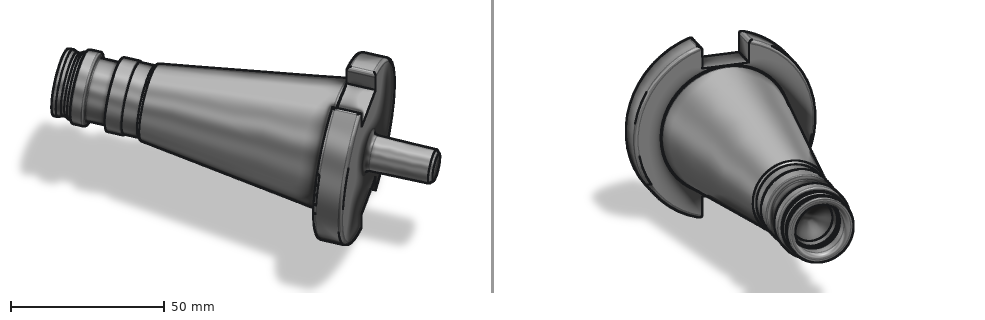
import cadquery as cq
import math

LENGTH = 127.9
TAPER_START = 30.6
GAUGE_PLANE = 93.6
FLANGE_FRONT = 94.9
FLANGE_THICKNESS = 10.0
FLANGE_BACK = FLANGE_FRONT + FLANGE_THICKNESS

TIP_RADIUS = 11.4
TIP_ROUND = 0.5
TIP_GROOVE_START = 1.7
TIP_GROOVE_FLOOR_START = 3.2
TIP_GROOVE_FLOOR_END = 4.3
TIP_GROOVE_END = 5.5
TIP_GROOVE_DEPTH = 0.6

COLLAR_RADIUS = 12.5
FIRST_COLLAR_START = 6.7
FIRST_COLLAR_END = 11.3
FIRST_COLLAR_ROUND = 0.6
NECK_RADIUS = 10.6
NECK_CORNER_ROUND = 0.4
SECOND_COLLAR_START = 18.5
SECOND_COLLAR_END = 24.3
SECOND_COLLAR_ROUND = 0.4
TAIL_RADIUS = 12.2
TAIL_END = 29.5

GAUGE_RADIUS = 22.3
TAPER_SLOPE = 7 / 24 / 2
TAPER_SMALL_RADIUS = GAUGE_RADIUS - TAPER_SLOPE * (GAUGE_PLANE - TAPER_START)

FLANGE_RADIUS = 31.5
FLANGE_ROUND = 1.2
SLOT_WIDTH = 16.1
SLOT_FLOOR = 22.5
FLANGE_ROOT_FILLET = SLOT_FLOOR - GAUGE_RADIUS

ARBOR_ROOT_RADIUS = 6.0
ARBOR_END_RADIUS = 5.8
ARBOR_ROOT_FILLET = 1.9
ARBOR_END_CHAMFER = 1.2

MOUTH_ROUND = 1.8
BORE_RADIUS = 8.5
BORE_END = 5.8
PILOT_RADIUS = 8.2
PILOT_START = 6.5
PILOT_END = 7.7
COUNTERSINK_ANGLE = 60
CORE_RADIUS = 7.2
DRILL_ANGLE = 118

ARC_SAG = 1 - math.sqrt(0.5)

LEFT, RIGHT, INWARD, OUTWARD = (-1, 0), (1, 0), (0, -1), (0, 1)


def quarter_round(profile, corner, radius, start, end):
    """Line up to a right-angled corner and round it.

    start points from the corner back along the incoming side, end along the outgoing side.
    """
    def offset(along_start, along_end):
        return tuple(
            c + radius * (along_start * s + along_end * e) for c, s, e in zip(corner, start, end)
        )

    return profile.lineTo(*offset(1, 0)).threePointArc(offset(ARC_SAG, ARC_SAG), offset(0, 1))


def revolve_about_axis(profile):
    return profile.close().revolve(360, (0, 0, 0), (1, 0, 0))


def turned_body():
    profile = cq.Workplane("XZ")

    groove_radius = TIP_RADIUS - TIP_GROOVE_DEPTH
    profile = quarter_round(profile, (0, TIP_RADIUS), TIP_ROUND, INWARD, RIGHT)
    profile = (
        profile.lineTo(TIP_GROOVE_START, TIP_RADIUS)
        .lineTo(TIP_GROOVE_FLOOR_START, groove_radius)
        .lineTo(TIP_GROOVE_FLOOR_END, groove_radius)
        .lineTo(TIP_GROOVE_END, TIP_RADIUS)
        .lineTo(FIRST_COLLAR_START, TIP_RADIUS)
    )

    for corner, radius, start, end in (
        ((FIRST_COLLAR_START, COLLAR_RADIUS), FIRST_COLLAR_ROUND, INWARD, RIGHT),
        ((FIRST_COLLAR_END, COLLAR_RADIUS), FIRST_COLLAR_ROUND, LEFT, INWARD),
        ((FIRST_COLLAR_END, NECK_RADIUS), NECK_CORNER_ROUND, OUTWARD, RIGHT),
        ((SECOND_COLLAR_START, NECK_RADIUS), NECK_CORNER_ROUND, LEFT, OUTWARD),
        ((SECOND_COLLAR_START, COLLAR_RADIUS), SECOND_COLLAR_ROUND, INWARD, RIGHT),
    ):
        profile = quarter_round(profile, corner, radius, start, end)
    collar_drop = COLLAR_RADIUS - TAIL_RADIUS
    profile = quarter_round(profile, (SECOND_COLLAR_END, COLLAR_RADIUS), collar_drop, LEFT, INWARD)

    profile = (
        profile.lineTo(TAIL_END, TAIL_RADIUS)
        .lineTo(TAPER_START, TAPER_SMALL_RADIUS)
        .lineTo(GAUGE_PLANE, GAUGE_RADIUS)
    )
    profile = quarter_round(profile, (FLANGE_FRONT, GAUGE_RADIUS), FLANGE_ROOT_FILLET, LEFT, OUTWARD)

    profile = quarter_round(profile, (FLANGE_BACK, ARBOR_ROOT_RADIUS), ARBOR_ROOT_FILLET, OUTWARD, RIGHT)
    profile = (
        profile.lineTo(LENGTH - ARBOR_END_CHAMFER, ARBOR_END_RADIUS)
        .lineTo(LENGTH, ARBOR_END_RADIUS - ARBOR_END_CHAMFER)
        .lineTo(LENGTH, 0)
    )
    return revolve_about_axis(profile)


def slotted_flange():
    flange_face = cq.Workplane("YZ", origin=(FLANGE_FRONT, 0, 0))
    disc = flange_face.circle(FLANGE_RADIUS).extrude(FLANGE_THICKNESS)
    slot_height = FLANGE_RADIUS
    slot_middle = SLOT_FLOOR + slot_height / 2
    slots = (
        flange_face.pushPoints([(0, slot_middle), (0, -slot_middle)])
        .rect(SLOT_WIDTH, slot_height)
        .extrude(FLANGE_THICKNESS)
    )
    return disc.cut(slots).faces("%CYLINDER").edges().fillet(FLANGE_ROUND)


def cone_length(radius_change, included_angle):
    return radius_change / math.tan(math.radians(included_angle / 2))


def blind_bore():
    countersink_end = PILOT_END + cone_length(PILOT_RADIUS - CORE_RADIUS, COUNTERSINK_ANGLE)
    profile = quarter_round(cq.Workplane("XZ"), (0, BORE_RADIUS), MOUTH_ROUND, OUTWARD, RIGHT)
    profile = (
        profile.lineTo(BORE_END, BORE_RADIUS)
        .lineTo(PILOT_START, PILOT_RADIUS)
        .lineTo(PILOT_END, PILOT_RADIUS)
        .lineTo(countersink_end, CORE_RADIUS)
        .lineTo(countersink_end + cone_length(CORE_RADIUS, DRILL_ANGLE), 0)
    )
    return revolve_about_axis(profile)


result = turned_body().union(slotted_flange()).cut(blind_bore())